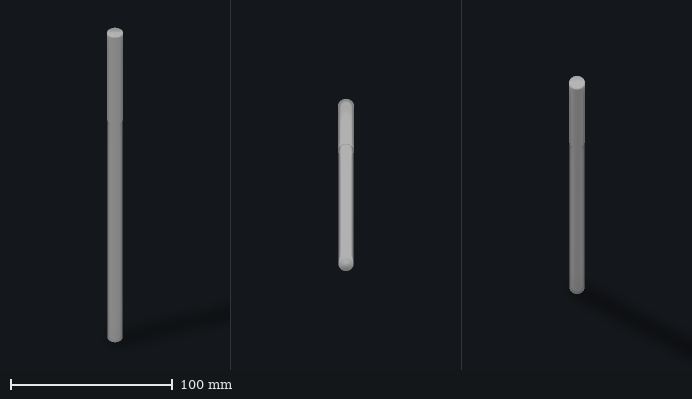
import cadquery as cq
import math

overall_length = 240.0
shank_diameter = 10.0
shank_length = 68.0
shank_chamfer = 0.5
drill_diameter = 9.2
neck_length = 20.5
point_angle = 140.0

drill_radius = drill_diameter / 2
point_height = drill_radius / math.tan(math.radians(point_angle / 2))
shank_bottom = overall_length - shank_length
neck_bottom = shank_bottom - neck_length


def make_holder():
    """Shank with a chamfered end, and the thinner neck below it."""
    shank = (
        cq.Workplane("XY", origin=(0, 0, shank_bottom))
        .circle(shank_diameter / 2)
        .extrude(shank_length)
        .faces(">Z")
        .chamfer(shank_chamfer)
    )
    neck = cq.Workplane("XY", origin=(0, 0, neck_bottom)).circle(drill_radius).extrude(neck_length)
    return shank.union(neck)


def make_cutting_part():
    """Cylindrical cutting length that ends in a conical point, butted against the neck."""
    half_profile = (
        cq.Workplane("XZ")
        .moveTo(0, 0)
        .lineTo(drill_radius, point_height)
        .lineTo(drill_radius, neck_bottom)
        .lineTo(0, neck_bottom)
        .close()
    )
    return half_profile.revolve(360, (0, 0, 0), (0, 1, 0))


holder = make_holder()
cutting_part = make_cutting_part()

result = cq.Compound.makeCompound([holder.val(), cutting_part.val()])